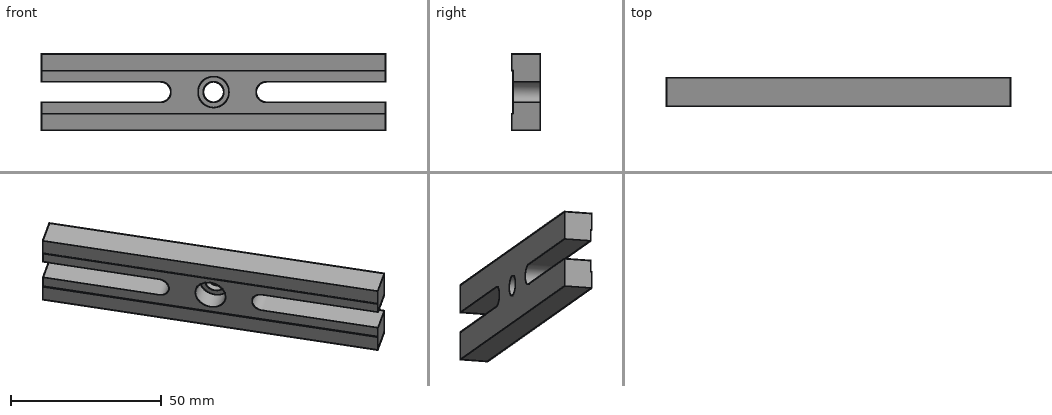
import cadquery as cq

LENGTH = 114.3
THICKNESS = 9.53
HEIGHT = 25.4

FRONT_Y = -THICKNESS / 2

CHANNEL_HEIGHT = 14.2875
CHANNEL_DEPTH = 0.381

SLOT_WIDTH = 6.7
SLOT_TIP_X = 14.2

HOLE_DIAMETER = SLOT_WIDTH
COUNTERBORE_DIAMETER = 10.3
COUNTERBORE_DEPTH = 6.5


def make_bar():
    return cq.Workplane("XY").box(LENGTH, THICKNESS, HEIGHT)


def make_channel():
    """Full-length recess in the front face."""
    return (
        cq.Workplane("XY")
        .box(LENGTH, CHANNEL_DEPTH, CHANNEL_HEIGHT)
        .translate((0, FRONT_Y + CHANNEL_DEPTH / 2, 0))
    )


def make_end_slot(side):
    """Round-ended through slot, open at the bar end on the given side (-1 or +1)."""
    radius = SLOT_WIDTH / 2
    arc_x = side * (SLOT_TIP_X + radius)
    end_x = side * LENGTH / 2
    return (
        cq.Workplane("XZ")
        .moveTo(end_x, radius)
        .lineTo(arc_x, radius)
        .threePointArc((side * SLOT_TIP_X, 0), (arc_x, -radius))
        .lineTo(end_x, -radius)
        .close()
        .extrude(THICKNESS / 2, both=True)
    )


def make_screw_hole():
    """Through hole with a counterbore opening on the front face."""
    through = cq.Workplane("XZ").circle(HOLE_DIAMETER / 2).extrude(THICKNESS / 2, both=True)
    counterbore = (
        cq.Workplane("XZ", origin=(0, FRONT_Y, 0))
        .circle(COUNTERBORE_DIAMETER / 2)
        .extrude(-(CHANNEL_DEPTH + COUNTERBORE_DEPTH))
    )
    return through.union(counterbore)


result = make_bar().cut(make_channel())
for slot_side in (-1, 1):
    result = result.cut(make_end_slot(slot_side))
result = result.cut(make_screw_hole())